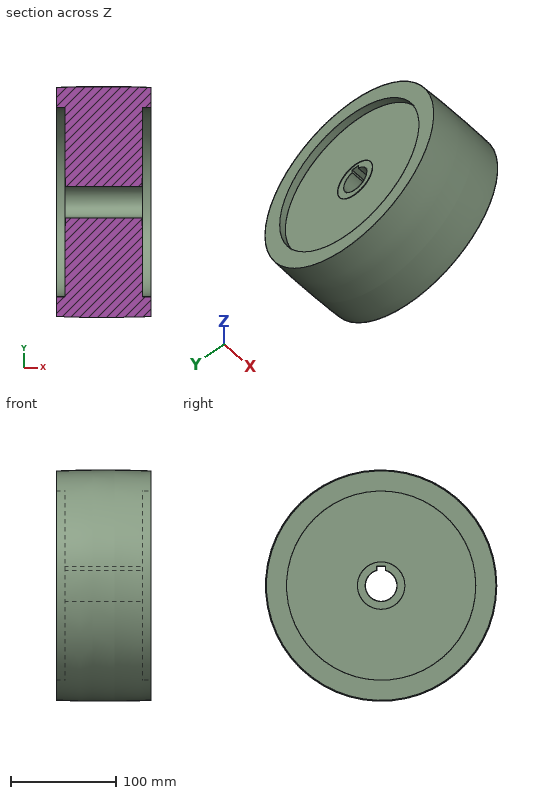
import cadquery as cq
import math

outer_diameter = 220.0
width = 90.0
band_width = 20.7
crown_drop = 0.9
recess_diameter = 180.0
recess_depth = 8.0
hub_diameter = 45.0
hub_step = 0.5
bore_diameter = 30.0
key_width = 8.0
key_height = 18.3

outer_radius = outer_diameter / 2
edge_radius = outer_radius - crown_drop
half_width = width / 2
half_band = band_width / 2


def make_crowned_body():
    """Revolve a profile whose crown arcs run tangent into the band."""
    flank = half_width - half_band
    arc_radius = (flank**2 + crown_drop**2) / (2 * crown_drop)
    mid_x = half_band + flank / 2
    mid_r = outer_radius - arc_radius + math.sqrt(arc_radius**2 - (flank / 2) ** 2)
    return (
        cq.Workplane("XY")
        .moveTo(-half_width, 0)
        .lineTo(-half_width, edge_radius)
        .threePointArc((-mid_x, mid_r), (-half_band, outer_radius))
        .lineTo(half_band, outer_radius)
        .threePointArc((mid_x, mid_r), (half_width, edge_radius))
        .lineTo(half_width, 0)
        .close()
        .revolve(360, (0, 0, 0), (1, 0, 0))
    )


def side_pocket(side, diameter, depth):
    """Round cutter reaching inward from the side face at -X (-1) or +X (+1)."""
    return (
        cq.Workplane("YZ", origin=(side * half_width, 0, 0))
        .circle(diameter / 2)
        .extrude(-side * depth)
    )


def make_keyed_bore():
    """Through bore with a keyway towards +Z."""
    start = cq.Workplane("YZ", origin=(-half_width, 0, 0))
    bore = start.circle(bore_diameter / 2).extrude(width)
    keyway = start.center(0, key_height / 2).rect(key_width, key_height).extrude(width)
    return bore.union(keyway)


wheel = make_crowned_body()
for side in (-1, 1):
    wheel = wheel.cut(side_pocket(side, recess_diameter, recess_depth))
    wheel = wheel.cut(side_pocket(side, hub_diameter, recess_depth + hub_step))

result = wheel.cut(make_keyed_bore())